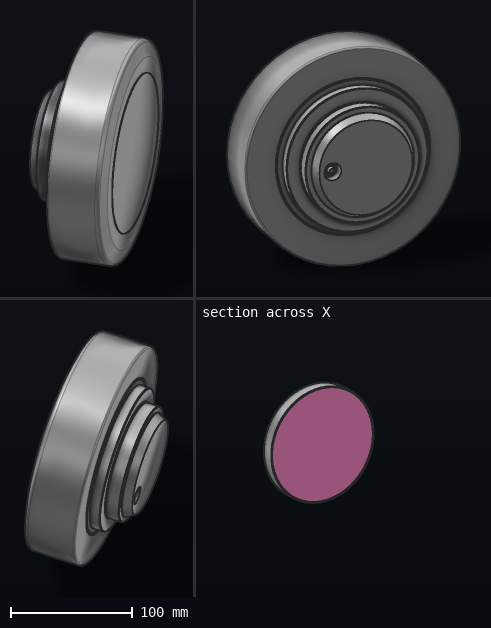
import cadquery as cq
import math

flange_face = 8.0
ring_face = 20.1
tyre_face = 29.8
tyre_back = 77.8
core_back = 78.2

cap_radius = 40.8
cone_radius = 90.0 / 2
flange_radius = 100.0 / 2
flange_neck_radius = 49.1
ring_bore_bevel = 0.5
ring_radius = 124.0 / 2
ring_neck_radius = 120.7 / 2
step_chamfer = 0.5
relief_width = 0.5

core_radius = 133.8 / 2
seam_outer_radius = 134.7 / 2
seam_depth = 1.0
seam_chamfer = 0.5

crown_radius = 94.9
crown_rise = 0.2
edge_radius = 1.5
shoulder_radius = 3.6
shoulder_slope = math.radians(16)
back_face_radius = 80.5

pocket_offset = 29.0
pocket_diameter = 15.0
pocket_depth = 9.5
hex_flats = 7.0
hex_height = 3.8
tip_base_diameter = 6.3
tip_diameter = 4.0
tip_height = 4.0


def disc(radius, start, end):
    return cq.Workplane("YZ", origin=(start, 0, 0)).circle(radius).extrude(end - start)


def frustum(plane, start_radius, end_radius, length):
    return plane.circle(start_radius).workplane(offset=length).circle(end_radius).loft()


def chamfered_disc(radius, start, end):
    return disc(radius, start, end).faces("<X").chamfer(step_chamfer)


def tyre():
    rim_radius = crown_radius - crown_rise
    turn = math.pi / 2 - shoulder_slope
    shoulder_end_radius = rim_radius - shoulder_radius * (1 - math.cos(turn))
    shoulder_end = tyre_back - (shoulder_end_radius - back_face_radius) * math.tan(shoulder_slope)
    shoulder_start = shoulder_end - shoulder_radius * math.sin(turn)
    shoulder_mid = (
        shoulder_start + shoulder_radius * math.sin(turn / 2),
        rim_radius - shoulder_radius * (1 - math.cos(turn / 2)),
    )
    edge_end = tyre_face + edge_radius
    edge_mid_inset = edge_radius * (1 - math.sqrt(0.5))
    edge_mid = (tyre_face + edge_mid_inset, rim_radius - edge_mid_inset)
    crown_mid = ((edge_end + shoulder_start) / 2, crown_radius)
    return (
        cq.Workplane("XY")
        .moveTo(tyre_face, 0)
        .lineTo(tyre_face, rim_radius - edge_radius)
        .threePointArc(edge_mid, (edge_end, rim_radius))
        .threePointArc(crown_mid, (shoulder_start, rim_radius))
        .threePointArc(shoulder_mid, (shoulder_end, shoulder_end_radius))
        .lineTo(tyre_back, back_face_radius)
        .lineTo(tyre_back, 0)
        .close()
        .revolve(360, (0, 0, 0), (1, 0, 0))
    )


def hub():
    cone_length = flange_face - relief_width
    cone = frustum(cq.Workplane("YZ"), cap_radius, cone_radius, cone_length)
    cone_land = disc(cone_radius, cone_length, flange_face)
    flange = chamfered_disc(flange_radius, flange_face, ring_face - relief_width)
    flange_neck = disc(flange_neck_radius, flange_face, ring_face + ring_bore_bevel)
    bore_bevel = frustum(
        cq.Workplane("YZ", origin=(ring_face, 0, 0)),
        flange_radius + ring_bore_bevel,
        flange_radius,
        ring_bore_bevel,
    )
    ring = chamfered_disc(ring_radius, ring_face, tyre_face - relief_width).cut(bore_bevel)
    ring_neck = disc(ring_neck_radius, tyre_face - relief_width, tyre_face)
    inner_steps = cone.union(cone_land).union(flange).union(flange_neck)
    return inner_steps.union(ring).union(ring_neck)


def seam():
    return (
        cq.Workplane("XY")
        .moveTo(tyre_face, core_radius - seam_chamfer)
        .lineTo(tyre_face + seam_chamfer, core_radius)
        .lineTo(tyre_face + seam_depth, core_radius)
        .lineTo(tyre_face + seam_depth, seam_outer_radius)
        .lineTo(tyre_face + seam_chamfer, seam_outer_radius)
        .lineTo(tyre_face, seam_outer_radius + seam_chamfer)
        .close()
        .revolve(360, (0, 0, 0), (1, 0, 0))
    )


def nipple_plane(depth):
    return cq.Workplane("YZ", origin=(depth, pocket_offset, 0))


def nipple():
    hex_top = pocket_depth - hex_height
    hex_corners = hex_flats / math.cos(math.pi / 6)
    hexagon = (
        nipple_plane(hex_top)
        .transformed(rotate=(0, 0, 90))
        .polygon(6, hex_corners)
        .extrude(hex_height)
    )
    tip = frustum(nipple_plane(hex_top), tip_base_diameter / 2, tip_diameter / 2, -tip_height)
    return hexagon.union(tip)


core_rim = disc(core_radius, tyre_back, core_back)
pocket = nipple_plane(0).circle(pocket_diameter / 2).extrude(pocket_depth)
wheel = tyre().cut(seam()).union(core_rim).union(hub())
result = wheel.cut(pocket).union(nipple())